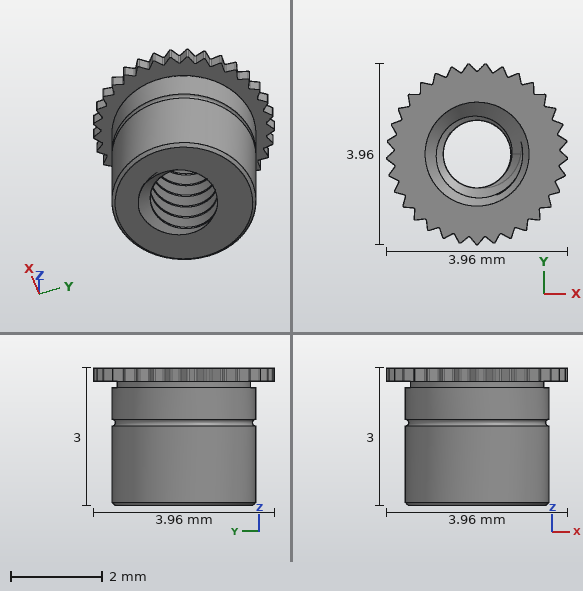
import cadquery as cq
import math

height = 3.0

body_radius = 1.575
neck_radius = 1.46
flange_thickness = 0.29
neck_length = 0.135
bottom_chamfer = 0.07
groove_radius = 0.075
groove_depth_below_top = 1.19

tooth_count = 33
first_tooth_angle = -90
sharp_tip_radius = 2.0
notch_angle = 90
tooth_rounding = 0.03

bore_radius = 0.735
countersink_radius = 1.135
thread_major_radius = 0.998
thread_pitch = 0.4
thread_flank_angle = 30
thread_root_width = thread_pitch / 8
thread_start_z = -0.13
runout_turns = 1
cutter_overlap = 0.008


def polar(radius, angle):
    """Point at a distance from the axis and an angle in degrees from +X."""
    return (radius * math.cos(math.radians(angle)), radius * math.sin(math.radians(angle)))


def make_flange():
    """Disc with pointed teeth, one of them pointing towards -Y."""
    tooth_step = 360 / tooth_count
    half_step = math.radians(tooth_step / 2)
    half_tooth_angle = math.radians(notch_angle - tooth_step) / 2
    valley_radius = sharp_tip_radius * math.sin(half_tooth_angle) / math.sin(half_tooth_angle + half_step)
    outline = []
    for tooth in range(tooth_count):
        tip_angle = first_tooth_angle + tooth * tooth_step
        outline.append(polar(sharp_tip_radius, tip_angle))
        outline.append(polar(valley_radius, tip_angle + tooth_step / 2))
    flange = cq.Workplane("XY").polyline(outline).close().extrude(-flange_thickness)
    return flange.edges("|Z").fillet(tooth_rounding)


def make_barrel():
    """Neck and cylindrical body, with a round groove and a chamfered lower rim."""
    neck_bottom_z = -flange_thickness - neck_length
    neck = cq.Workplane("XY").circle(neck_radius).extrude(neck_bottom_z)
    body = cq.Workplane("XY").workplane(offset=-height).circle(body_radius).extrude(height + neck_bottom_z)
    body = body.faces("<Z").edges().chamfer(bottom_chamfer)
    groove = cq.Solid.makeTorus(body_radius, groove_radius, cq.Vector(0, 0, -groove_depth_below_top))
    return body.cut(cq.Workplane(groove)).union(neck)


def make_bore():
    """Through bore that widens to the countersink at the top."""
    countersink_depth = countersink_radius - bore_radius
    profile = [
        (0, 0),
        (countersink_radius, 0),
        (bore_radius, -countersink_depth),
        (bore_radius, -height),
        (0, -height),
    ]
    return cq.Workplane("XZ").polyline(profile).close().revolve(360, (0, 0), (0, 1))


def make_thread_groove():
    """Right-handed helical V groove with a flat root, running out of both ends of the bore."""
    turns = math.ceil(height / thread_pitch) + 2 * runout_turns
    start_z = thread_start_z - (turns - runout_turns) * thread_pitch
    inner_radius = bore_radius - cutter_overlap
    half_root = thread_root_width / 2
    half_mouth = half_root + (thread_major_radius - inner_radius) * math.tan(math.radians(thread_flank_angle))
    profile = [
        (inner_radius, start_z - half_mouth),
        (thread_major_radius, start_z - half_root),
        (thread_major_radius, start_z + half_root),
        (inner_radius, start_z + half_mouth),
    ]
    helix = cq.Wire.makeHelix(thread_pitch, turns * thread_pitch, bore_radius, cq.Vector(0, 0, start_z))
    return cq.Workplane("XZ").polyline(profile).close().sweep(cq.Workplane(helix), isFrenet=True)


result = make_barrel().union(make_flange()).cut(make_bore()).cut(make_thread_groove())